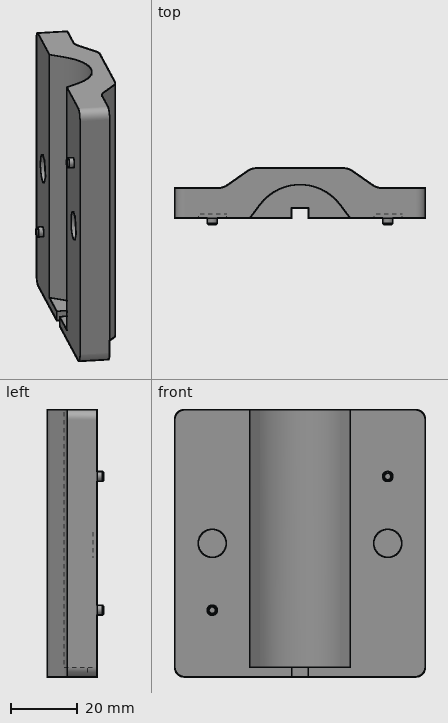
import cadquery as cq
import math

width = 75.0
height = 80.0
flange_thickness = 9.0
body_thickness = 15.0
corner_radius = 3.0

back_foot_half_width = 23.0
back_slope = math.radians(35)
back_top_half_width = back_foot_half_width - (body_thickness - flange_thickness) / math.tan(back_slope)
back_edge_radius = 5.0

channel_depth = 10.0
channel_radius = 15.0
flank_angle = math.pi / 2 - 2 * math.atan((channel_radius - channel_depth) / channel_radius)
end_wall = 3.0

slot_width = 5.0
slot_depth = 3.0

fastening_offset = 26.25
magnet_diameter = 8.4
magnet_depth = 1.3
pin_diameter = 3.0
pin_length = 2.0
pin_chamfer = 0.5
pin_height_offset = 20.0

bottom = -height / 2


def make_body():
    """Extrude the stepped section along Z and round its edges."""
    half_width = width / 2
    section = [
        (-half_width, 0),
        (half_width, 0),
        (half_width, flange_thickness),
        (back_foot_half_width, flange_thickness),
        (back_top_half_width, body_thickness),
        (-back_top_half_width, body_thickness),
        (-back_foot_half_width, flange_thickness),
        (-half_width, flange_thickness),
    ]
    body = cq.Workplane("XY").workplane(offset=bottom).polyline(section).close().extrude(height)
    margin = 1.0
    back_edges = cq.selectors.BoxSelector(
        (-back_foot_half_width - margin, flange_thickness - margin, bottom),
        (back_foot_half_width + margin, body_thickness + margin, -bottom),
    )
    body = body.edges("|Z").edges(back_edges).fillet(back_edge_radius)
    return body.edges("|Y").fillet(corner_radius)


def make_channel():
    """Channel that is open at the top and closed by the end wall at the bottom."""
    arc_center = channel_depth - channel_radius
    tangent_x = channel_radius * math.sin(flank_angle)
    tangent_y = arc_center + channel_radius * math.cos(flank_angle)
    return (
        cq.Workplane("XY")
        .workplane(offset=bottom + end_wall)
        .moveTo(-channel_radius, 0)
        .lineTo(-tangent_x, tangent_y)
        .threePointArc((0, channel_depth), (tangent_x, tangent_y))
        .lineTo(channel_radius, 0)
        .close()
        .extrude(height - end_wall)
    )


def make_slot():
    """Rectangular slot through the end wall, open at the mating face."""
    slot = cq.Workplane("XY").box(slot_width, slot_depth, end_wall, centered=(True, False, False))
    return slot.translate((0, 0, bottom))


def make_magnet_pocket(side):
    """Shallow round pocket sunk into the mating face."""
    return (
        cq.Workplane("XZ")
        .center(side * fastening_offset, 0)
        .circle(magnet_diameter / 2)
        .extrude(-magnet_depth)
    )


def make_pin(side):
    """Chamfered pin standing on the mating face, high on +X and low on -X."""
    return (
        cq.Workplane("XZ")
        .center(side * fastening_offset, side * pin_height_offset)
        .circle(pin_diameter / 2)
        .extrude(pin_length)
        .faces("<Y")
        .chamfer(pin_chamfer)
    )


result = make_body().cut(make_channel()).cut(make_slot())
for side in (-1, 1):
    result = result.cut(make_magnet_pocket(side)).union(make_pin(side))